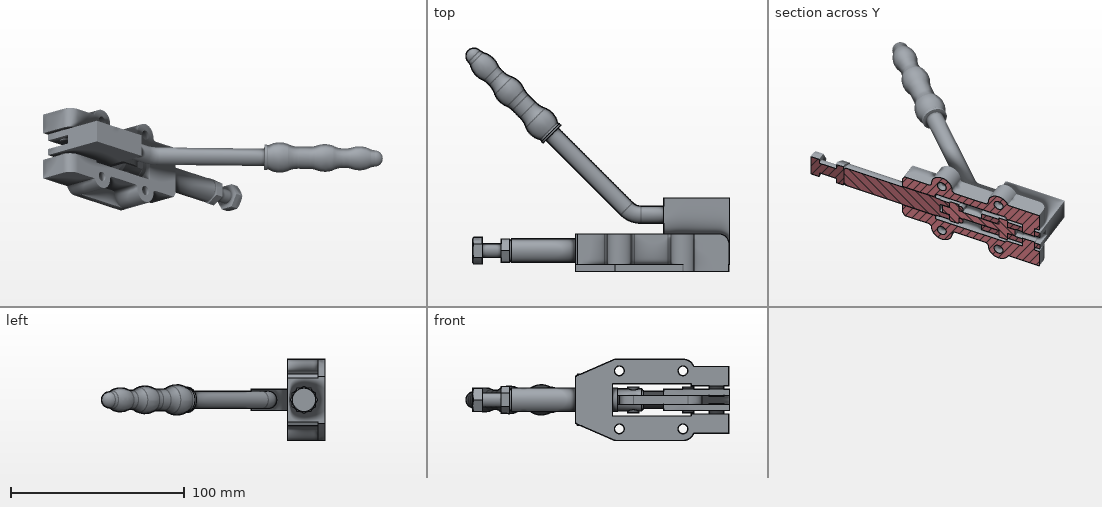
import cadquery as cq
import math


OVERALL_LENGTH = 151.9

BASE_BOTTOM_Y = -12.2
BASE_TOP_Y = -8.0
HOUSING_TOP_Y = 9.5
HOUSING_LENGTH = 88.4
FRONT_HALF_WIDTH = 13.5
TAPER_LENGTH = 22.8
HOLE_XS = (25.4, 62.0)
HOLE_Z = 16.7
HOLE_DIAMETER = 5.5
HOUSING_WIDTH = 47.0
HOUSING_HALF_WIDTH = HOUSING_WIDTH / 2
BOSS_RADIUS = HOUSING_HALF_WIDTH - HOLE_Z
REAR_HALF_WIDTH = 19.3
WAIST_HALF_WIDTH = 14.9
WAIST_FILLET = HOLE_Z - WAIST_HALF_WIDTH
FRONT_BEVEL_X = 1.4
FRONT_BEVEL_Z = 2.3
REAR_CORNER_RADIUS = 5.6
SLOT_START_X = 21.4
SLOT_NARROW_X = 66.7
SLOT_HALF_WIDTH = 9.3
SLOT_NARROW_HALF_WIDTH = 8.0

PLUNGER_RADIUS = 6.8
PLUNGER_FRONT_X = -37.8
PLUNGER_REAR_X = 39.2
PLUNGER_CHAMFER = 1.2
FORK_START_X = 24.3
FORK_RADIUS = 6.5

LINK_FRONT_X = 33.4
LINK_REAR_X = 65.0
LINK_RADIUS = 7.9
LINK_HALF_THICKNESS = 2.6
LINK_PIN_DIAMETER = 6.5
LINK_PIN_HALF_LENGTH = 7.5

HEX_ACROSS_FLATS = 13.5
HEX_CORNER_DIAMETER = HEX_ACROSS_FLATS / math.cos(math.radians(30))
HEAD_CHAMFER_ANGLE = 30.0
SPINDLE_HEAD_X = -59.1
SPINDLE_HEAD_LENGTH = 5.6
SPINDLE_STEM_DIAMETER = 8.0
NUT_LENGTH = 4.9

LEVER_FRONT_X = 50.9
LEVER_REAR_X = 88.8
LEVER_BOTTOM_Y = -8.0
LEVER_TOP_Y = 30.4
LEVER_HALF_WIDTH = 6.2
PIVOT_X = 81.3
PIVOT_Y = 0.0
PIVOT_RADIUS = 4.3
PIVOT_INNER_Z = 2.0
ROD_RADIUS = 5.0
ROD_Y = 20.7
ROD_CORNER_X = 33.0
ROD_BEND_RADIUS = 11.7
ROD_BEND_ANGLE = 45.0

GRIP_START = 65.6
GRIP_TIP_RADIUS = 4.7
GRIP_RIM_RADIUS = 7.3
GRIP_RIM_LENGTH = 1.29


def prism(outline, y_start, y_end):
    """Extrude a closed XZ outline from y_start up to y_end."""
    return outline.extrude(y_start - y_end).translate((0, y_start, 0))


def xz_rectangle(x_start, x_end, half_width):
    return cq.Workplane("XZ").moveTo((x_start + x_end) / 2, 0).rect(x_end - x_start, 2 * half_width)


def z_cylinder(x, y, radius, z_start, z_end):
    return cq.Workplane("XY", origin=(x, y, z_start)).circle(radius).extrude(z_end - z_start)


def x_cylinder(x_start, x_end, radius):
    return cq.Workplane("YZ", origin=(x_start, 0, 0)).circle(radius).extrude(x_end - x_start)


def with_mirror(half):
    """Complete a half that ends at z = 0."""
    return half.union(half.mirror("XY"))


def rear_outline(start):
    """Close a half outline over the rear boss and along the rear arm to the plane z = 0."""
    boss_x = HOLE_XS[1]
    shoulder_x = boss_x + math.sqrt(BOSS_RADIUS**2 - (REAR_HALF_WIDTH - HOLE_Z) ** 2)
    return (
        start
        .radiusArc((shoulder_x, REAR_HALF_WIDTH), BOSS_RADIUS)
        .lineTo(HOUSING_LENGTH, REAR_HALF_WIDTH)
        .lineTo(HOUSING_LENGTH, 0)
        .close()
    )


def make_flange():
    start = (
        cq.Workplane("XZ")
        .lineTo(0, FRONT_HALF_WIDTH)
        .lineTo(TAPER_LENGTH, HOUSING_HALF_WIDTH)
        .lineTo(HOLE_XS[1], HOUSING_HALF_WIDTH)
    )
    return with_mirror(prism(rear_outline(start), BASE_BOTTOM_Y, BASE_TOP_Y))


def make_walls():
    front_x, rear_x = HOLE_XS
    fillet_reach = BOSS_RADIUS + WAIST_FILLET
    start = (
        cq.Workplane("XZ")
        .lineTo(0, WAIST_HALF_WIDTH - FRONT_BEVEL_Z)
        .lineTo(FRONT_BEVEL_X, WAIST_HALF_WIDTH)
        .lineTo(front_x - fillet_reach, WAIST_HALF_WIDTH)
        .radiusArc((front_x - BOSS_RADIUS, HOLE_Z), -WAIST_FILLET)
        .threePointArc((front_x, HOUSING_HALF_WIDTH), (front_x + BOSS_RADIUS, HOLE_Z))
        .radiusArc((front_x + fillet_reach, WAIST_HALF_WIDTH), -WAIST_FILLET)
        .lineTo(rear_x - fillet_reach, WAIST_HALF_WIDTH)
        .radiusArc((rear_x - BOSS_RADIUS, HOLE_Z), -WAIST_FILLET)
        .radiusArc((rear_x, HOUSING_HALF_WIDTH), BOSS_RADIUS)
    )
    return with_mirror(prism(rear_outline(start), BASE_TOP_Y, HOUSING_TOP_Y))


def make_housing():
    housing = make_flange().union(make_walls())
    housing = housing.edges("|Z and >X and >Y").fillet(REAR_CORNER_RADIUS)

    wide_slot = xz_rectangle(SLOT_START_X, SLOT_NARROW_X, SLOT_HALF_WIDTH)
    narrow_slot = xz_rectangle(SLOT_NARROW_X, HOUSING_LENGTH, SLOT_NARROW_HALF_WIDTH)
    for slot in (wide_slot, narrow_slot):
        housing = housing.cut(prism(slot, BASE_BOTTOM_Y, HOUSING_TOP_Y))

    hole_centers = [(x, z) for x in HOLE_XS for z in (-HOLE_Z, HOLE_Z)]
    holes = cq.Workplane("XZ").pushPoints(hole_centers).circle(HOLE_DIAMETER / 2)
    housing = housing.cut(prism(holes, BASE_BOTTOM_Y, HOUSING_TOP_Y))
    housing = housing.cut(x_cylinder(0, SLOT_START_X, PLUNGER_RADIUS))

    stub = z_cylinder(PIVOT_X, PIVOT_Y, PIVOT_RADIUS, PIVOT_INNER_Z, SLOT_NARROW_HALF_WIDTH)
    return housing.union(stub).union(stub.mirror("XY"))


def make_link_pins():
    radius = LINK_PIN_DIAMETER / 2
    pins = cq.Workplane()
    for x in (LINK_FRONT_X, LINK_REAR_X):
        pins = pins.union(z_cylinder(x, 0, radius, -LINK_PIN_HALF_LENGTH, LINK_PIN_HALF_LENGTH))
    return pins


def make_link():
    center_distance = LINK_REAR_X - LINK_FRONT_X
    bar = (
        cq.Workplane("XY", origin=((LINK_FRONT_X + LINK_REAR_X) / 2, 0, 0))
        .slot2D(center_distance + 2 * LINK_RADIUS, 2 * LINK_RADIUS)
        .extrude(LINK_HALF_THICKNESS, both=True)
    )
    return bar.union(make_link_pins())


def make_plunger():
    barrel = x_cylinder(PLUNGER_FRONT_X, FORK_START_X, PLUNGER_RADIUS).faces("<X").chamfer(PLUNGER_CHAMFER)
    fork = x_cylinder(FORK_START_X, PLUNGER_REAR_X, FORK_RADIUS).faces(">X").chamfer(PLUNGER_CHAMFER)
    plunger = barrel.union(fork)
    slot = xz_rectangle(FORK_START_X, PLUNGER_REAR_X, LINK_HALF_THICKNESS)
    plunger = plunger.cut(prism(slot, -PLUNGER_RADIUS, PLUNGER_RADIUS))
    return plunger.cut(make_link_pins())


def hexagon(x_start, length, turn):
    nut_shape = cq.Workplane("YZ", origin=(x_start, 0, 0)).polygon(6, HEX_CORNER_DIAMETER).extrude(length)
    return nut_shape.rotate((0, 0, 0), (1, 0, 0), turn)


def head_trim():
    """Round envelope whose cone meets the head's face in a circle that touches the flats."""
    chamfer_radial = (HEX_CORNER_DIAMETER - HEX_ACROSS_FLATS) / 2
    chamfer_axial = chamfer_radial * math.tan(math.radians(HEAD_CHAMFER_ANGLE))
    face_radius = HEX_ACROSS_FLATS / 2
    corner_radius = HEX_CORNER_DIAMETER / 2
    profile = (
        cq.Workplane("XY", origin=(SPINDLE_HEAD_X, 0, 0))
        .lineTo(0, face_radius)
        .lineTo(chamfer_axial, corner_radius)
        .lineTo(SPINDLE_HEAD_LENGTH, corner_radius)
        .lineTo(SPINDLE_HEAD_LENGTH, 0)
        .close()
    )
    return profile.revolve(360, (0, 0, 0), (1, 0, 0))


def make_spindle():
    head = hexagon(SPINDLE_HEAD_X, SPINDLE_HEAD_LENGTH, 0).intersect(head_trim())
    stem = x_cylinder(SPINDLE_HEAD_X, PLUNGER_FRONT_X, SPINDLE_STEM_DIAMETER / 2)
    nut = hexagon(PLUNGER_FRONT_X - NUT_LENGTH, NUT_LENGTH, 30)
    return head.union(stem).union(nut)


def make_lever_block():
    block = prism(xz_rectangle(LEVER_FRONT_X, LEVER_REAR_X, LEVER_HALF_WIDTH), LEVER_BOTTOM_Y, LEVER_TOP_Y)
    channel = xz_rectangle(LEVER_FRONT_X, LEVER_REAR_X, LINK_HALF_THICKNESS)
    block = block.cut(prism(channel, LEVER_BOTTOM_Y, LINK_RADIUS))
    pivot_hole = z_cylinder(PIVOT_X, PIVOT_Y, PIVOT_RADIUS, -LEVER_HALF_WIDTH, LEVER_HALF_WIDTH)
    return block.cut(pivot_hole).cut(make_link_pins())


def along_rod(distance):
    """Point on the sloping centre line of the rod, measured from the rod corner."""
    angle = math.radians(ROD_BEND_ANGLE)
    return (ROD_CORNER_X - distance * math.cos(angle), ROD_Y + distance * math.sin(angle))


def make_rod():
    tangent = ROD_BEND_RADIUS * math.tan(math.radians(ROD_BEND_ANGLE / 2))
    path = (
        cq.Workplane("XY")
        .moveTo(LEVER_FRONT_X, ROD_Y)
        .lineTo(ROD_CORNER_X + tangent, ROD_Y)
        .radiusArc(along_rod(tangent), ROD_BEND_RADIUS)
        .lineTo(*along_rod(GRIP_START))
    )
    return cq.Workplane("YZ", origin=(LEVER_FRONT_X, ROD_Y, 0)).circle(ROD_RADIUS).sweep(path)


def grip_tip_center():
    """Distance of the round tip's centre from the grip's open end."""
    center_x = LEVER_REAR_X - OVERALL_LENGTH + GRIP_TIP_RADIUS
    return (ROD_CORNER_X - center_x) / math.cos(math.radians(ROD_BEND_ANGLE)) - GRIP_START


def make_grip():
    tip_center = grip_tip_center()
    profile = (
        cq.Workplane("XY")
        .lineTo(0, GRIP_RIM_RADIUS)
        .lineTo(GRIP_RIM_LENGTH, GRIP_RIM_RADIUS)
        .threePointArc((2.0, 7.0), (2.6, 7.1))
        .threePointArc((8.2, 8.8), (13.4, 7.9))
        .threePointArc((16.5, 6.7), (19.7, 6.4))
        .lineTo(25.8, 6.4)
        .threePointArc((27.8, 6.5), (29.6, 7.0))
        .threePointArc((35.1, 8.0), (39.5, 7.1))
        .threePointArc((42.5, 5.9), (45.5, 5.6))
        .threePointArc((47.5, 5.6), (49.5, 5.9))
        .threePointArc((55.5, 7.0), (61.4, 5.2))
        .lineTo(tip_center, GRIP_TIP_RADIUS)
        .radiusArc((tip_center + GRIP_TIP_RADIUS, 0), GRIP_TIP_RADIUS)
        .close()
    )
    grip = profile.revolve(360, (0, 0, 0), (1, 0, 0))
    start_x, start_y = along_rod(GRIP_START)
    turned = grip.rotate((0, 0, 0), (0, 0, 1), 180 - ROD_BEND_ANGLE)
    return turned.translate((start_x, start_y, 0))


def make_lever():
    return make_lever_block().union(make_rod()).union(make_grip())


housing = make_housing()
plunger = make_plunger()
spindle = make_spindle()
link = make_link()
lever = make_lever()

bodies = [housing, plunger, spindle, link, lever]
result = cq.Compound.makeCompound([body.solids().val() for body in bodies])